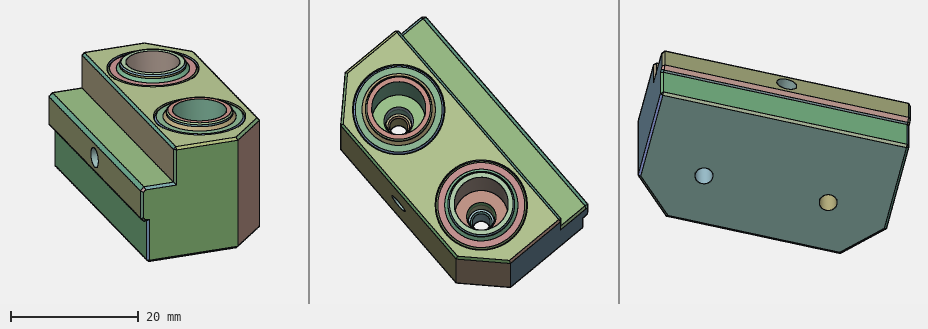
import cadquery as cq
LENGTH = 40.0
DEPTH = 22.25
BLOCK_HEIGHT = 18.9
EDGE_CHAMFER = 0.4
CORNER_CUT = 6.0

RAIL_BOTTOM = 7.0
RAIL_TOP = 12.9
RAIL_OVERHANG = 1.0
RAIL_LEDGE = 5.55
RAIL_CHAMFER = 0.6
CROSS_HOLE_DIAMETER = 3.2

BUSH_SPACING = 20.0
BUSH_Y = 13.7
BUSH_TOP = 20.0
BUSH_BORE = 8.45
FLANGE_DIAMETER = 14.15
FLANGE_CHAMFER = 0.3
RIM_DIAMETER = 10.45
RIM_CHAMFER = 0.25
RIM_HEIGHT = 0.55

BORE_MOUTH_DIAMETER = 14.45
BORE_FLARE_DEPTH = 0.3
SEAT_Z = 10.0

COUNTERBORE_TOP_DIAMETER = 4.6
COUNTERBORE_DIAMETER = 4.1
COUNTERBORE_TAPER_DEPTH = 0.8
COUNTERBORE_DEPTH = 4.0
DRAIN_DIAMETER = 2.8
DRAIN_CHAMFER = 0.3

BUSH_CENTRES = [(-BUSH_SPACING / 2, BUSH_Y), (BUSH_SPACING / 2, BUSH_Y)]


def revolve_profile(points):
    """Turn a closed outline of (radius, height) points about the Z axis."""
    return cq.Workplane("XZ").polyline(points).close().revolve(360, (0, 0, 0), (0, 1, 0))


def make_block_blank():
    """Extrude the stepped side outline and chamfer its outer edges."""
    outline = [
        (DEPTH, 0),
        (DEPTH, BLOCK_HEIGHT),
        (RAIL_LEDGE, BLOCK_HEIGHT),
        (RAIL_LEDGE, RAIL_TOP),
        (0, RAIL_TOP),
        (0, RAIL_BOTTOM),
        (RAIL_OVERHANG, RAIL_BOTTOM),
        (RAIL_OVERHANG, 0),
    ]
    blank = cq.Workplane("YZ").polyline(outline).close().extrude(LENGTH / 2, both=True)
    blank = blank.faces(">Y").edges("|Z").chamfer(CORNER_CUT)
    blank = blank.faces("<Y").edges("|X").chamfer(RAIL_CHAMFER)
    cut_y = DEPTH - CORNER_CUT
    cut_edges = cq.selectors.BoxSelector(
        (-LENGTH, cut_y - EDGE_CHAMFER, EDGE_CHAMFER),
        (LENGTH, cut_y + EDGE_CHAMFER, BLOCK_HEIGHT - EDGE_CHAMFER),
    )
    return blank.faces("<X or >X or <Z or >Z").edges(-cut_edges).chamfer(EDGE_CHAMFER)


def make_bush():
    """Open sleeve with a flange, a conical collar and a chamfered rim."""
    bore_radius = BUSH_BORE / 2
    rim_radius = RIM_DIAMETER / 2
    flange_radius = FLANGE_DIAMETER / 2
    collar_top = BUSH_TOP - RIM_HEIGHT
    collar_radius = rim_radius + collar_top - BLOCK_HEIGHT
    return revolve_profile([
        (bore_radius, SEAT_Z),
        (flange_radius, SEAT_Z),
        (flange_radius, BLOCK_HEIGHT - FLANGE_CHAMFER),
        (flange_radius - FLANGE_CHAMFER, BLOCK_HEIGHT),
        (collar_radius, BLOCK_HEIGHT),
        (rim_radius, collar_top),
        (rim_radius, BUSH_TOP - RIM_CHAMFER),
        (rim_radius - RIM_CHAMFER, BUSH_TOP),
        (bore_radius, BUSH_TOP),
    ])


def make_bush_hole():
    """Cutter for a bush bore with the tapered counterbore and drain hole below it."""
    bore_radius = FLANGE_DIAMETER / 2
    counterbore_radius = COUNTERBORE_DIAMETER / 2
    drain_radius = DRAIN_DIAMETER / 2
    counterbore_floor = SEAT_Z - COUNTERBORE_DEPTH
    return revolve_profile([
        (0, 0),
        (drain_radius, 0),
        (drain_radius, counterbore_floor - DRAIN_CHAMFER),
        (drain_radius + DRAIN_CHAMFER, counterbore_floor),
        (counterbore_radius, counterbore_floor),
        (counterbore_radius, SEAT_Z - COUNTERBORE_TAPER_DEPTH),
        (COUNTERBORE_TOP_DIAMETER / 2, SEAT_Z),
        (bore_radius, SEAT_Z),
        (bore_radius, BLOCK_HEIGHT - BORE_FLARE_DEPTH),
        (BORE_MOUTH_DIAMETER / 2, BLOCK_HEIGHT),
        (0, BLOCK_HEIGHT),
    ])


def make_block():
    """Block with the two stepped bush holes and the cross hole through the rail."""
    block = make_block_blank()
    for x, y in BUSH_CENTRES:
        block = block.cut(make_bush_hole().translate((x, y, 0)))
    cross_hole_z = (RAIL_BOTTOM + RAIL_TOP) / 2
    cross_hole = (
        cq.Workplane("XZ").center(0, cross_hole_z).circle(CROSS_HOLE_DIAMETER / 2).extrude(-DEPTH)
    )
    return block.cut(cross_hole)


block = make_block()
bushes = [make_bush().translate((x, y, 0)) for x, y in BUSH_CENTRES]

result = cq.Compound.makeCompound([block.val(), *[bush.val() for bush in bushes]])